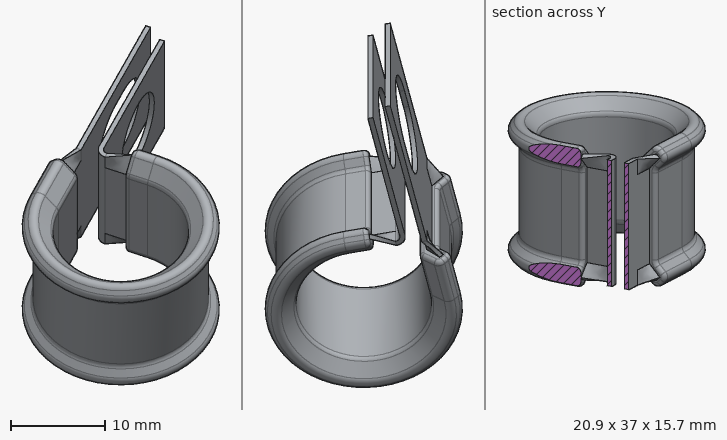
import cadquery as cq
import math


loop_outer_radius = 10.45
cushion_height = 15.65
rim_lean = 45
loop_angle = 270
strap_thickness = 0.57
cushion_cover = 0.78
strap_inner_radius = 7.96
end_round = 0.5

slot_tab_leg = 5.44
hole_tab_leg = 2.65

slot_tab_end = 26.59
hole_tab_end = 25.4
tab_gap = 1.55
bend_inner_radius = 0.6
flare_root_y = 7.9
overlap = 1.0
flare_root_depth = 1.72
flare_overreach = 0.12

hole_center_y = 18.27
hole_diameter = 8.7
slot_width = 8.9
slot_length = 11.1

strap_outer_radius = strap_inner_radius + strap_thickness
wall_outer_radius = strap_outer_radius + cushion_cover
half_height = cushion_height / 2
strap_half_width = half_height - cushion_cover
strap_width = 2 * strap_half_width

lean_sin = math.sin(math.radians(rim_lean))
lean_cos = math.cos(math.radians(rim_lean))
lean_tan = math.tan(math.radians(rim_lean))
edge_outer_r = loop_outer_radius - cushion_cover
edge_outer_z = strap_half_width - strap_thickness * lean_sin
edge_inner_r = edge_outer_r - strap_thickness * lean_cos
edge_inner_z = strap_half_width
inner_bend_z = edge_inner_z - (edge_inner_r - strap_inner_radius) / lean_tan

lean_face_r = edge_outer_r + cushion_cover * lean_cos
lean_face_z = edge_outer_z - cushion_cover * lean_sin
rim_corner_z = lean_face_z - (lean_face_r - wall_outer_radius) / lean_tan
rim_fillet_z = rim_corner_z - cushion_cover * math.tan(math.radians(rim_lean / 2))
rim_fillet_r = wall_outer_radius + cushion_cover

hole_tab_x = -strap_inner_radius + tab_gap
bend_outer_radius = bend_inner_radius + strap_thickness
bend_center_x = hole_tab_x + bend_outer_radius
bend_center_y = strap_inner_radius + bend_outer_radius
flat_half_width = strap_half_width - flare_root_depth


def cover_arc(center_r, center_z, start_angle, end_angle):
    """Start, middle and end points of an arc of cushion cover radius, angles in degrees."""
    points = []
    for angle in (start_angle, (start_angle + end_angle) / 2, end_angle):
        turn = math.radians(angle)
        points.append((center_r + cushion_cover * math.cos(turn), center_z + cushion_cover * math.sin(turn)))
    return points


def mirrored(point):
    """Point reflected across the XY plane of the part."""
    return (point[0], -point[1])


def cushion_section(workplane):
    """Cushion section in (radius, z): a straight wall with a rounded rim leaning out at each end."""
    inner_bend = cover_arc(strap_inner_radius, inner_bend_z, 180, 180 - rim_lean)
    top_round = cover_arc(edge_inner_r, edge_inner_z, 180 - rim_lean, 90 - rim_lean)
    side_round = cover_arc(edge_outer_r, edge_outer_z, 90 - rim_lean, -rim_lean)
    wall_fillet = cover_arc(rim_fillet_r, rim_fillet_z, 180 - rim_lean, 180)
    arcs = [inner_bend, top_round, side_round, wall_fillet]
    lower_arcs = [[mirrored(p) for p in reversed(arc)] for arc in reversed(arcs)]

    section = workplane.moveTo(*mirrored(inner_bend[0]))
    for start, middle, end in arcs + lower_arcs:
        section = section.lineTo(*start).threePointArc(middle, end)
    return section.close()


def slot_side_plane(y):
    """Plane across the slot tab side of the strap, with radius and Z as its local axes."""
    return cq.Plane(origin=(0, y, 0), xDir=(-1, 0, 0), normal=(0, 1, 0))


def hole_side_plane(x):
    """Plane across the hole tab side of the strap, with radius and Z as its local axes."""
    return cq.Plane(origin=(x, 0, 0), xDir=(0, 1, 0), normal=(-1, 0, 0))


def make_cushion():
    """Loop of cushion with a straight leg, rounded at its cut end, on each side of the opening."""
    loop = cushion_section(cq.Workplane(slot_side_plane(0))).revolve(loop_angle, (0, 0), (0, 1))
    slot_leg = cushion_section(cq.Workplane(slot_side_plane(0))).extrude(slot_tab_leg)
    slot_leg = slot_leg.faces(">Y").edges().fillet(end_round)
    hole_leg = cushion_section(cq.Workplane(hole_side_plane(0))).extrude(hole_tab_leg)
    hole_leg = hole_leg.faces("<X").edges().fillet(end_round)
    return loop.union(slot_leg).union(hole_leg)


def strap_box(x_range, y_range, width):
    """Flat piece of strap centred on the XY plane."""
    x_length = x_range[1] - x_range[0]
    y_length = y_range[1] - y_range[0]
    piece = cq.Workplane("XY").box(x_length, y_length, width, centered=(False, False, True))
    return piece.translate((x_range[0], y_range[0], 0))


def make_flares(cushion_plane, length):
    """Strap edge strips that turn from flat to leaning where they meet the cushion."""
    leaning_section = [
        (strap_inner_radius, flat_half_width),
        (strap_outer_radius, flat_half_width),
        (edge_outer_r + flare_overreach, edge_outer_z),
        (edge_inner_r + flare_overreach, edge_inner_z),
    ]
    flat_section = [
        (strap_inner_radius, flat_half_width),
        (strap_outer_radius, flat_half_width),
        (strap_outer_radius, strap_half_width),
        (strap_inner_radius, strap_half_width),
    ]
    section = cq.Workplane(cushion_plane).polyline(leaning_section).close()
    section = section.workplane(offset=length).polyline(flat_section).close()
    flare = section.loft(ruled=True)
    return flare.union(flare.mirror("XY"))


def make_slot_tab():
    """Straight tab with the slot, running directly on from the cushion leg."""
    x_range = (-strap_outer_radius, -strap_inner_radius)
    tab = strap_box(x_range, (flare_root_y, slot_tab_end), strap_width)
    neck = strap_box(x_range, (slot_tab_leg - overlap, flare_root_y), 2 * flat_half_width)
    flares = make_flares(slot_side_plane(slot_tab_leg), flare_root_y - slot_tab_leg)
    slot = (
        cq.Workplane("YZ", origin=(-strap_outer_radius, hole_center_y, 0))
        .slot2D(slot_length, slot_width)
        .extrude(strap_thickness)
    )
    return tab.union(neck).union(flares).cut(slot)


def make_bend():
    """Quarter turn of the strap from the loop into the hole tab."""
    bend = (
        cq.Workplane("XY", origin=(bend_center_x, bend_center_y, -strap_half_width))
        .circle(bend_outer_radius)
        .circle(bend_inner_radius)
        .extrude(strap_width)
    )
    corner = strap_box((hole_tab_x, bend_center_x), (strap_inner_radius, bend_center_y), strap_width)
    return bend.intersect(corner)


def make_hole_tab():
    """Shorter tab with the round hole, reached through a quarter bend."""
    x_range = (hole_tab_x, hole_tab_x + strap_thickness)
    tab = strap_box(x_range, (bend_center_y, hole_tab_end), strap_width)
    neck = strap_box(
        (bend_center_x, overlap - hole_tab_leg),
        (strap_inner_radius, strap_outer_radius),
        2 * flat_half_width,
    )
    flares = make_flares(hole_side_plane(-hole_tab_leg), -hole_tab_leg - bend_center_x)
    hole = (
        cq.Workplane("YZ", origin=(hole_tab_x, hole_center_y, 0))
        .circle(hole_diameter / 2)
        .extrude(strap_thickness)
    )
    return tab.union(make_bend()).union(neck).union(flares).cut(hole)


result = make_cushion().union(make_slot_tab()).union(make_hole_tab())